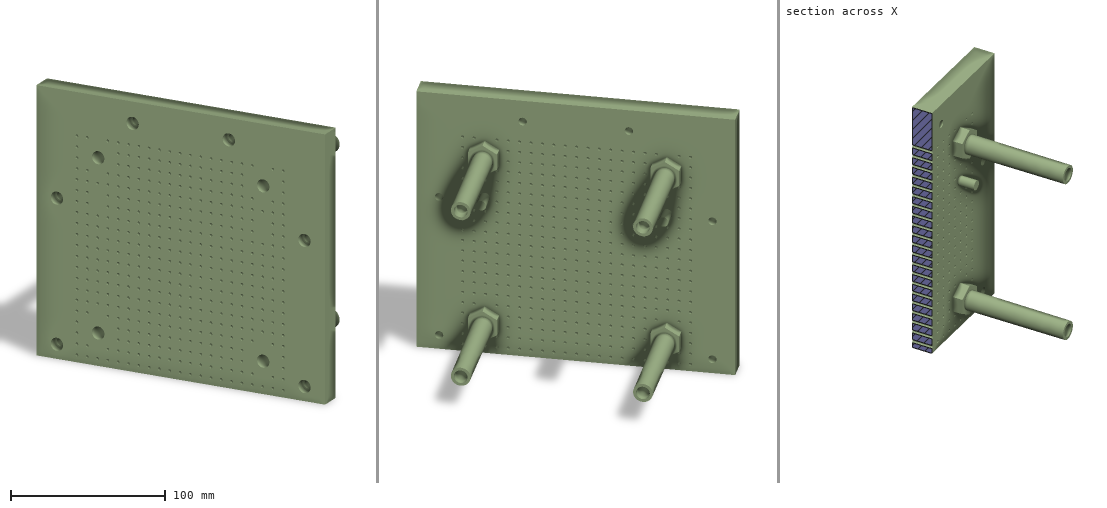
import cadquery as cq
import math

plate_width = 210.0
plate_thickness = 15.0
plate_height = 185.0

rim_width = 5.0

grid_pitch = 7.5
grid_count = 21
grid_bottom = 5.0
grid_centre_x = -0.5
grid_hole_diameter = 2.0
grid_hole_wall = 0.75

overall_depth = 95.0
standoff_spacing = 120.0
standoff_low_z = 22.5
standoff_base_diameter = 13.5
standoff_tip_diameter = 13.0
standoff_bore_diameter = 9.0
hex_base_flats = 19.2
hex_tip_flats = 19.0
hex_length = 7.0
hex_sides = 6

pin_diameter = 6.8
pin_length = 12.0
pin_below_upper_standoff = 30.0

screw_hole_diameter = 5.5
counterbore_diameter = 9.0
counterbore_depth = 5.0
screw_edge_inset = 15.0
screw_side_heights = (10.0, 110.0)
screw_top_spacing = 70.0

standoff_high_z = standoff_low_z + standoff_spacing
standoff_length = overall_depth - plate_thickness - hex_length
column_xs = (-standoff_spacing / 2, standoff_spacing / 2)
standoff_points = [(x, z) for x in column_xs for z in (standoff_low_z, standoff_high_z)]
pin_points = [(x, standoff_high_z - pin_below_upper_standoff) for x in column_xs]
half_corner_angle = math.pi / hex_sides


def plane_at(y):
    """XZ sketch plane at depth y; negative extrusions run toward +Y."""
    return cq.Workplane("XZ", origin=(0, y, 0))


def plate_block(width, height):
    return cq.Workplane("XY").box(width, plate_thickness, height, centered=(True, False, False))


def make_plate():
    """Panel joined to its border; left uncleaned so the flush seam between them is kept."""
    panel = plate_block(plate_width - 2 * rim_width, plate_height - rim_width)
    border = plate_block(plate_width, plate_height).cut(panel)
    return border.union(panel, clean=False)


def hexagon(across_flats):
    """Corners of a regular hexagon with one corner pointing up."""
    radius = across_flats / 2 / math.cos(half_corner_angle)
    angles = [(2 * side + 1) * half_corner_angle for side in range(hex_sides)]
    return [(radius * math.cos(angle), radius * math.sin(angle)) for angle in angles]


def make_standoff(x, z):
    """Tapered hexagonal base with a tapered round post on its end."""
    base = (
        plane_at(plate_thickness)
        .center(x, z)
        .polyline(hexagon(hex_base_flats))
        .close()
        .workplane(offset=-hex_length)
        .polyline(hexagon(hex_tip_flats))
        .close()
        .loft(ruled=True)
    )
    post = (
        plane_at(plate_thickness + hex_length)
        .center(x, z)
        .circle(standoff_base_diameter / 2)
        .workplane(offset=-standoff_length)
        .circle(standoff_tip_diameter / 2)
        .loft()
    )
    return base.union(post)


def rods(points, diameter, start_y, length):
    """Round bars running toward +Y from depth start_y."""
    return plane_at(start_y).pushPoints(points).circle(diameter / 2).extrude(-length)


def blocked_by_hex(x, z):
    """True where a grid hole would come too close to a hexagonal base."""
    reach = (hex_base_flats + grid_hole_diameter) / 2 + grid_hole_wall
    for centre_x, centre_z in standoff_points:
        across = abs(x - centre_x)
        up = abs(z - centre_z)
        slanted = across * math.sin(half_corner_angle) + up * math.cos(half_corner_angle)
        if max(across, slanted) < reach:
            return True
    return False


def blocked_by_pin(x, z):
    """True where a grid hole would come too close to a pin."""
    reach = (pin_diameter + grid_hole_diameter) / 2 + grid_hole_wall
    return any(math.hypot(x - pin_x, z - pin_z) < reach for pin_x, pin_z in pin_points)


def grid_points():
    """Grid positions, leaving out those behind which a standoff or pin sits."""
    grid_left = grid_centre_x - (grid_count - 1) / 2 * grid_pitch
    points = []
    for column in range(grid_count):
        for row in range(grid_count):
            x = grid_left + column * grid_pitch
            z = grid_bottom + row * grid_pitch
            if not (blocked_by_hex(x, z) or blocked_by_pin(x, z)):
                points.append((x, z))
    return points


def screw_points():
    side_x = plate_width / 2 - screw_edge_inset
    top_z = plate_height - screw_edge_inset
    side_points = [(x, z) for x in (-side_x, side_x) for z in screw_side_heights]
    top_points = [(x, top_z) for x in (-screw_top_spacing / 2, screw_top_spacing / 2)]
    return side_points + top_points


def drill(part, points, diameter, depth):
    """Cut round holes into the part from the front face."""
    return part.cut(rods(points, diameter, 0, depth), clean=False)


result = make_plate()
for standoff_x, standoff_z in standoff_points:
    result = result.union(make_standoff(standoff_x, standoff_z), clean=False)
result = result.union(rods(pin_points, pin_diameter, plate_thickness, pin_length), clean=False)

result = drill(result, standoff_points, standoff_bore_diameter, overall_depth)
result = drill(result, screw_points(), screw_hole_diameter, plate_thickness)
result = drill(result, screw_points(), counterbore_diameter, counterbore_depth)
result = drill(result, grid_points(), grid_hole_diameter, plate_thickness)